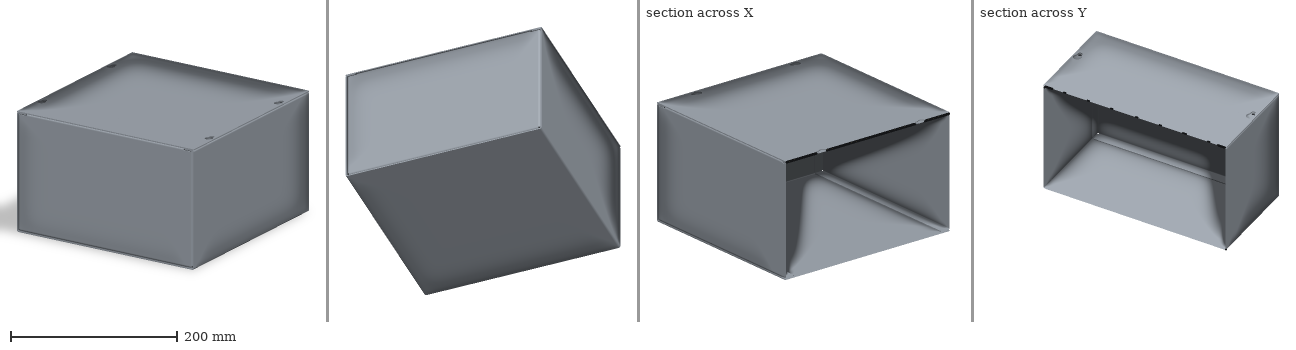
import cadquery as cq


length = 254.0
sheet = 1.3
cover_sheet = 1.5
bend_inside = 1.0
bend_outside = bend_inside + sheet
tray_clearance = 0.8
body_height = 152.5
total_height = body_height + cover_sheet

floor_bottom = -total_height / 2
floor_top = floor_bottom + sheet
body_top = floor_bottom + body_height

top_flange_width = 12.5
opening_half_width = length / 2 - top_flange_width

tray_width = length - 2 * (sheet + tray_clearance)
tray_flange_depth = 13.5
tray_bottom = floor_top + tray_clearance
tray_height = body_top - tray_bottom
face_half_width = tray_width / 2 - bend_outside
face_bottom = tray_bottom + bend_outside
face_top = body_top - bend_outside
face_height = face_top - face_bottom
face_mid = (face_top + face_bottom) / 2
top_flange_gap = 2.0

screw_x = 120.5
screw_y = 76.2
screw_hole_radius = 2.3
keyhole_x = 120.1
keyhole_slot_radius = 3.0
keyhole_entry_radius = 5.0
keyhole_travel = 6.9


def block(x_size, y_size, z_size, center):
    return cq.Workplane("XY").box(x_size, y_size, z_size).translate(center)


def four_places(x, y):
    return [(side * x, end * y) for side in (-1, 1) for end in (-1, 1)]


def make_wrapper():
    """Square tube of bent sheet along Y, slit open along the top between its two flanges."""
    mid_height = (floor_bottom + body_top) / 2
    outside = block(length, length, body_height, (0, 0, mid_height)).edges("|Y").fillet(bend_outside)
    inside = block(length - 2 * sheet, length, body_height - 2 * sheet, (0, 0, mid_height))
    inside = inside.edges("|Y").fillet(bend_inside)
    opening = block(2 * opening_half_width, length, 2 * sheet, (0, 0, body_top))
    screw_holes = (
        cq.Workplane("XY", origin=(0, 0, body_top - sheet))
        .pushPoints(four_places(screw_x, screw_y))
        .circle(screw_hole_radius)
        .extrude(sheet)
    )
    return outside.cut(inside).cut(opening).cut(screw_holes)


def tray_channel(x_outside, z_outside, x_inside, z_inside, bend_axis):
    """Face with two flanges bent back from it; the bends run along bend_axis."""
    depth = tray_flange_depth
    y_front = -length / 2
    outside = block(x_outside, depth, z_outside, (0, y_front + depth / 2, face_mid))
    outside = outside.edges("<Y and |" + bend_axis).fillet(bend_outside)
    inside = block(x_inside, depth, z_inside, (0, y_front + sheet + depth / 2, face_mid))
    inside = inside.edges("<Y and |" + bend_axis).fillet(bend_inside)
    return outside.cut(inside)


def make_front_tray():
    """End face with four flanges; the top one fits between the wrapper's flanges."""
    side_flanges = tray_channel(tray_width, face_height, tray_width - 2 * sheet, face_height, "Z")
    face_width = 2 * face_half_width
    cross_flanges = tray_channel(face_width, tray_height, face_width, tray_height - 2 * sheet, "X")

    top_flange_half_width = opening_half_width - top_flange_gap
    trim_width = face_half_width - top_flange_half_width
    trim_x = (face_half_width + top_flange_half_width) / 2
    trim_y = -length / 2 + tray_flange_depth / 2
    trim_z = body_top - bend_outside / 2
    for side in (-1, 1):
        trim = block(trim_width, tray_flange_depth, bend_outside, (side * trim_x, trim_y, trim_z))
        cross_flanges = cross_flanges.cut(trim)
    return side_flanges.union(cross_flanges)


def make_cover():
    """Flat plate with four keyholes whose round slot ends sit over the screw holes."""
    cover = block(length, length, cover_sheet, (0, 0, body_top + cover_sheet / 2))
    for x, y in four_places(keyhole_x, screw_y):
        entry_y = y - keyhole_travel
        plane = cq.Workplane("XY", origin=(0, 0, body_top))
        entry = plane.center(x, entry_y).circle(keyhole_entry_radius).extrude(cover_sheet)
        slot_end = plane.center(x, y).circle(keyhole_slot_radius).extrude(cover_sheet)
        neck_y = (y + entry_y) / 2
        neck = plane.center(x, neck_y).rect(2 * keyhole_slot_radius, keyhole_travel).extrude(cover_sheet)
        cover = cover.cut(entry).cut(slot_end).cut(neck)
    return cover


wrapper = make_wrapper()
front_tray = make_front_tray()
back_tray = front_tray.mirror("XZ")
cover = make_cover()

result = cq.Compound.makeCompound([wrapper.val(), front_tray.val(), back_tray.val(), cover.val()])